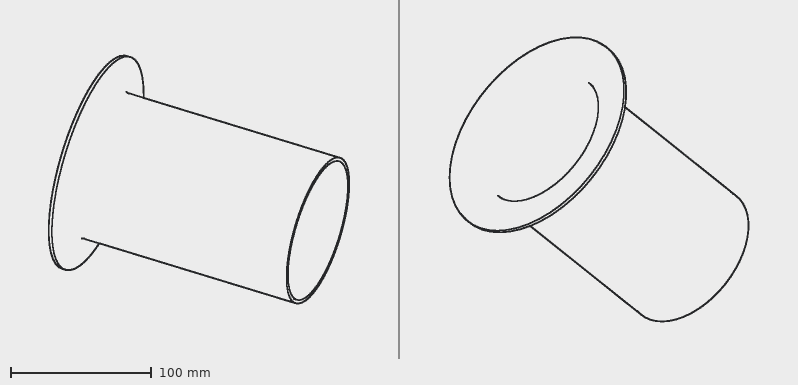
import cadquery as cq

length = 174.0
flange_diameter = 158.0
tube_diameter = 108.0
wall = 2.6
outer_bend_radius = 6.0

flange_radius = flange_diameter / 2
tube_radius = tube_diameter / 2
bore_radius = tube_radius - wall
inner_bend_radius = outer_bend_radius + wall
bend_center_radius = tube_radius + outer_bend_radius

flange_face_x = -length / 2
flange_back_x = flange_face_x + wall
bend_end_x = flange_face_x + inner_bend_radius
tube_end_x = length / 2

section = (
    cq.Workplane("XY")
    .moveTo(tube_end_x, bore_radius)
    .lineTo(bend_end_x, bore_radius)
    .radiusArc((flange_face_x, bend_center_radius), inner_bend_radius)
    .lineTo(flange_face_x, flange_radius)
    .lineTo(flange_back_x, flange_radius)
    .lineTo(flange_back_x, bend_center_radius)
    .radiusArc((bend_end_x, tube_radius), -outer_bend_radius)
    .lineTo(tube_end_x, tube_radius)
    .close()
)

result = section.revolve(360, (0, 0, 0), (1, 0, 0))